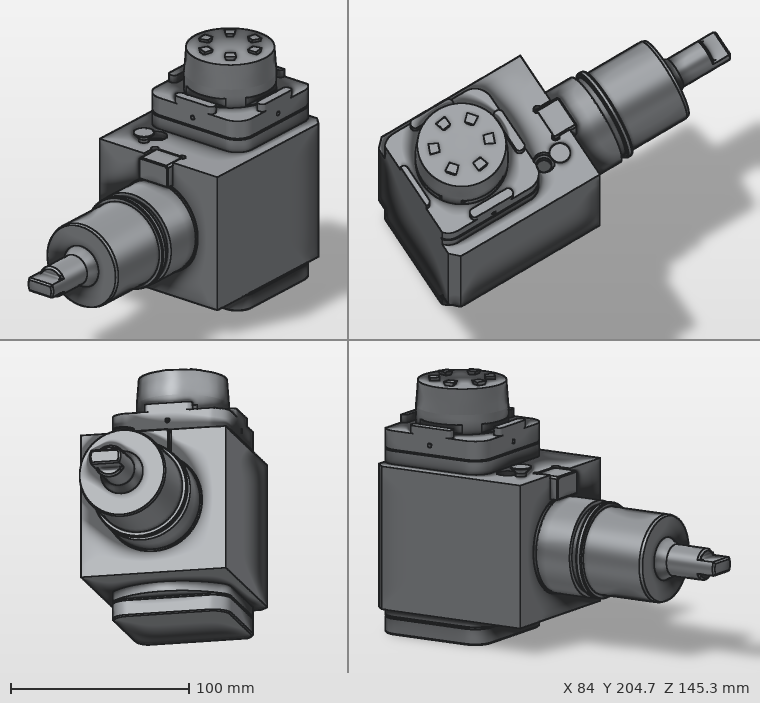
import cadquery as cq
import math


BLOCK_WIDTH = 84.0
BLOCK_TOP = 41.5
BLOCK_BOTTOM = -40.5
BLOCK_BACK = 32.0
BLOCK_FRONT = -65.0
BLOCK_CHAMFER = 5.1

FLANGE_WIDTH = 68.4
FLANGE_RADIUS = 10.5
FLANGE_TOP = 60.8
UPPER_SEAM = 49.1
UPPER_SEAM_DEPTH = 0.5
UPPER_SEAM_HEIGHT = 0.8
LOWER_SEAM = -47.3
LOWER_SEAM_DEPTH = 1.0
LOWER_SEAM_HEIGHT = 1.2
FLANGE_BOTTOM = -56.5
BOTTOM_CHAMFER = 0.8
BULGE_RADIUS = math.sqrt(2) * (FLANGE_WIDTH / 2 - FLANGE_RADIUS) + FLANGE_RADIUS

BAR_LENGTH = 27.5
BAR_DEPTH = 5.5
BAR_HEIGHT = 4.5
BAR_RADIUS = 2.5
PIN_HOLE_DIAMETER = 2.5
PIN_HOLE_DEPTH = 4.0
PIN_HOLE_Z = 55.3

DIAL_DIAMETER = 52.0
DIAL_TOP_DIAMETER = 49.7
DIAL_CONE_START = 72.0
DIAL_TOP = 86.8
DIAL_FLAT_DISTANCE = 22.0
DIAL_FLAT_BOTTOM = 61.5
DIAL_FLAT_TOP = 66.3

LUG_COUNT = 6
LUG_START_ANGLE = 8.5
LUG_INNER_RADIUS = 12.9
LUG_LENGTH = 5.5
LUG_INNER_WIDTH = 5.3
LUG_OUTER_WIDTH = 6.5
LUG_UNDERCUT = 1.0
LUG_HEIGHT = 2.0

NECK_END = -66.5
COLLAR_END = -88.6
RING_START = -92.5
RING_END = -96.2
BODY_END = -135.0
CONE_END = -141.2
SHOULDER = -162.3
TIP = BLOCK_BACK - 204.7
COLLAR_DIAMETER = 55.0
FACE_GROOVE_DIAMETER = 56.3
FACE_GROOVE_DEPTH = 1.0
NECK_DIAMETER = 53.5
BODY_DIAMETER = 50.0
RING_DIAMETER = 54.7
RING_CHAMFER_LENGTH = 0.8
RING_CHAMFER_DEPTH = 0.5
BODY_CHAMFER_LENGTH = 1.8
BODY_CHAMFER_DEPTH = 0.6
CONE_DIAMETER = 24.5
STEM_DIAMETER = 18.0
SHOULDER_CHAMFER = 1.2

TANG_THICKNESS = 8.2
TANG_FLAT_WIDTH = 13.0
TANG_BEVEL_DROP = 0.2
TANG_TIP_CHAMFER = 1.0
TANG_ROOT_RADIUS = 1.6

KEY_WIDTH = 20.5
KEY_TOP_CHAMFER = 1.2
KEY_FRONT_CHAMFER = 0.6
KEY_TOP = 41.0
KEY_BOTTOM = 27.6
KEY_FRONT = -70.0
KEY_BACK = -55.5
RELIEF_DIAMETER = 4.5
RELIEF_INSET = 0.6

SCREW_X = -20.7
SCREW_Y = -52.0
SCREW_HEAD_DIAMETER = 11.7
SCREW_PIN_DIAMETER = 6.0
SCREW_TOP = 46.9
SCREW_RIM_HEIGHT = 0.6
SCREW_CONE_BOTTOM = 43.4
SCREW_DEPTH = 6.1
HOLE_X = -19.2
HOLE_Y = -42.4
HOLE_DIAMETER = 8.5
COUNTERBORE_DIAMETER = 12.0
COUNTERBORE_DEPTH = 4.0
HOLE_DEPTH = 8.2


def cylinder(diameter, bottom, top, x=0.0, y=0.0):
    """Upright cylinder between two heights."""
    return cq.Workplane("XY", origin=(x, y, bottom)).circle(diameter / 2).extrude(top - bottom)


def rounded_square(bottom, top, inset=0.0):
    """Flange layer with rounded corners, optionally set in on all sides."""
    width = FLANGE_WIDTH - 2 * inset
    return (
        cq.Workplane("XY", origin=(0, 0, bottom))
        .rect(width, width)
        .extrude(top - bottom)
        .edges("|Z")
        .fillet(FLANGE_RADIUS - inset)
    )


def make_block():
    length = BLOCK_BACK - BLOCK_FRONT
    return (
        cq.Workplane("XY", origin=(0, (BLOCK_BACK + BLOCK_FRONT) / 2, BLOCK_BOTTOM))
        .rect(BLOCK_WIDTH, length)
        .extrude(BLOCK_TOP - BLOCK_BOTTOM)
        .edges("|Z and >Y")
        .chamfer(BLOCK_CHAMFER)
    )


def make_bar():
    """Bar along the -Y edge of the upper flange."""
    return (
        cq.Workplane("XY", origin=(0, (BAR_DEPTH - FLANGE_WIDTH) / 2, FLANGE_TOP))
        .rect(BAR_LENGTH, BAR_DEPTH)
        .extrude(BAR_HEIGHT)
        .edges("|Z")
        .fillet(BAR_RADIUS)
    )


def make_pin_hole():
    """Blind hole in the -Y face of the upper flange."""
    return (
        cq.Workplane("XZ", origin=(0, -FLANGE_WIDTH / 2, PIN_HOLE_Z))
        .circle(PIN_HOLE_DIAMETER / 2)
        .extrude(-PIN_HOLE_DEPTH)
    )


def make_upper_flange():
    flange = rounded_square(BLOCK_TOP, UPPER_SEAM)
    flange = flange.union(rounded_square(UPPER_SEAM, UPPER_SEAM + UPPER_SEAM_HEIGHT, UPPER_SEAM_DEPTH))
    flange = flange.union(rounded_square(UPPER_SEAM + UPPER_SEAM_HEIGHT, FLANGE_TOP))
    for quarter in range(4):
        turn = 90 * quarter
        flange = flange.union(make_bar().rotate((0, 0, 0), (0, 0, 1), turn))
    for turn in (0, 90, -90):
        flange = flange.cut(make_pin_hole().rotate((0, 0, 0), (0, 0, 1), turn))
    return flange


def make_lower_flange():
    seam_top = LOWER_SEAM + LOWER_SEAM_HEIGHT
    bulge = cylinder(2 * BULGE_RADIUS, seam_top, BLOCK_BOTTOM)
    front_strip = (
        cq.Workplane("XY", origin=(0, -BULGE_RADIUS / 2, seam_top))
        .rect(math.sqrt(2) * BULGE_RADIUS, BULGE_RADIUS)
        .extrude(BLOCK_BOTTOM - seam_top)
    )
    cover = rounded_square(FLANGE_BOTTOM, LOWER_SEAM).faces("<Z").edges().chamfer(BOTTOM_CHAMFER)
    return (
        rounded_square(seam_top, BLOCK_BOTTOM)
        .union(bulge.intersect(front_strip))
        .union(rounded_square(LOWER_SEAM, seam_top, LOWER_SEAM_DEPTH))
        .union(cover)
    )


def trim_at_back(flange):
    """Cut a flange off flush with the back of the block."""
    behind = (
        cq.Workplane("XY", origin=(0, BLOCK_BACK + FLANGE_WIDTH / 2, FLANGE_BOTTOM))
        .rect(2 * FLANGE_WIDTH, FLANGE_WIDTH)
        .extrude(DIAL_TOP - FLANGE_BOTTOM)
    )
    return flange.cut(behind)


def lug_outline(plane, inset):
    """Trapezoid pointing along +X that widens away from the dial axis."""
    outer_radius = LUG_INNER_RADIUS + LUG_LENGTH
    inner_half = LUG_INNER_WIDTH / 2 - inset
    outer_half = LUG_OUTER_WIDTH / 2 - inset
    return plane.polyline([
        (LUG_INNER_RADIUS, -inner_half),
        (outer_radius, -outer_half),
        (outer_radius, outer_half),
        (LUG_INNER_RADIUS, inner_half),
    ]).close()


def make_lug():
    base = lug_outline(cq.Workplane("XY", origin=(0, 0, DIAL_TOP)), LUG_UNDERCUT)
    return lug_outline(base.workplane(offset=LUG_HEIGHT), 0).loft(ruled=True)


def make_dial():
    radius = DIAL_DIAMETER / 2
    dial = (
        cq.Workplane("XZ")
        .moveTo(0, BLOCK_TOP)
        .lineTo(radius, BLOCK_TOP)
        .lineTo(radius, DIAL_CONE_START)
        .lineTo(DIAL_TOP_DIAMETER / 2, DIAL_TOP)
        .lineTo(0, DIAL_TOP)
        .close()
        .revolve(360, (0, 0), (0, 1))
    )
    for number in range(LUG_COUNT):
        turn = LUG_START_ANGLE + number * 360 / LUG_COUNT
        dial = dial.union(make_lug().rotate((0, 0, 0), (0, 0, 1), turn))
    return dial


def make_dial_flats():
    """Four slots that leave a square waist with round corners under the dial."""
    height = DIAL_FLAT_TOP - DIAL_FLAT_BOTTOM
    waist = (
        cq.Workplane("XY", origin=(0, 0, DIAL_FLAT_BOTTOM))
        .rect(2 * DIAL_FLAT_DISTANCE, 2 * DIAL_FLAT_DISTANCE)
        .extrude(height)
    )
    return cylinder(DIAL_DIAMETER, DIAL_FLAT_BOTTOM, DIAL_FLAT_TOP).cut(waist)


def make_face_groove():
    """Shallow round recess in the front of the block around the neck of the shank."""
    return (
        cq.Workplane("XZ", origin=(0, BLOCK_FRONT, 0))
        .circle(FACE_GROOVE_DIAMETER / 2)
        .extrude(-FACE_GROOVE_DEPTH)
    )


def make_shank():
    root = BLOCK_FRONT + FACE_GROOVE_DEPTH
    collar = COLLAR_DIAMETER / 2
    neck = NECK_DIAMETER / 2
    body = BODY_DIAMETER / 2
    ring = RING_DIAMETER / 2
    stem = STEM_DIAMETER / 2
    profile = [
        (0, root),
        (neck, root),
        (neck, NECK_END),
        (collar, NECK_END),
        (collar, COLLAR_END),
        (body, COLLAR_END),
        (body, RING_START),
        (ring - RING_CHAMFER_DEPTH, RING_START),
        (ring, RING_START - RING_CHAMFER_LENGTH),
        (ring, RING_END + RING_CHAMFER_LENGTH),
        (ring - RING_CHAMFER_DEPTH, RING_END),
        (body, RING_END),
        (body, BODY_END + BODY_CHAMFER_LENGTH),
        (body - BODY_CHAMFER_DEPTH, BODY_END),
        (CONE_DIAMETER / 2, BODY_END),
        (stem, CONE_END),
        (stem, SHOULDER + SHOULDER_CHAMFER),
        (stem - SHOULDER_CHAMFER, SHOULDER),
        (0, SHOULDER),
    ]
    return cq.Workplane("XY").polyline(profile).close().revolve(360, (0, 0), (0, 1))


def make_tang():
    half = TANG_THICKNESS / 2
    radius = STEM_DIAMETER / 2
    flat = TANG_FLAT_WIDTH / 2
    start = SHOULDER + SHOULDER_CHAMFER
    length = start - TIP
    bevel_edge = half - TANG_BEVEL_DROP
    section = (
        cq.Workplane("XZ", origin=(0, start, 0))
        .polyline([
            (-flat, half), (flat, half), (radius, bevel_edge), (radius, -bevel_edge),
            (flat, -half), (-flat, -half), (-radius, -bevel_edge), (-radius, bevel_edge),
        ])
        .close()
        .extrude(length)
        .faces("<Y")
        .chamfer(TANG_TIP_CHAMFER)
    )
    stem = cq.Workplane("XZ", origin=(0, start, 0)).circle(radius).extrude(length)
    stem = stem.faces("<Y").chamfer(TANG_TIP_CHAMFER)
    tang = section.intersect(stem)

    arc_middle = TANG_ROOT_RADIUS * (1 - math.sqrt(0.5))
    root = (
        cq.Workplane("YZ", origin=(-flat, 0, 0))
        .moveTo(SHOULDER, half)
        .lineTo(SHOULDER - TANG_ROOT_RADIUS, half)
        .threePointArc((SHOULDER - arc_middle, half + arc_middle), (SHOULDER, half + TANG_ROOT_RADIUS))
        .close()
        .extrude(TANG_FLAT_WIDTH)
    )
    return tang.union(root).union(root.mirror("XY"))


def make_key():
    return (
        cq.Workplane("XY", origin=(0, (KEY_FRONT + KEY_BACK) / 2, KEY_BOTTOM))
        .rect(KEY_WIDTH, KEY_BACK - KEY_FRONT)
        .extrude(KEY_TOP - KEY_BOTTOM)
        .edges(">Z and |Y")
        .chamfer(KEY_TOP_CHAMFER)
        .faces("<Y")
        .edges()
        .chamfer(KEY_FRONT_CHAMFER)
    )


def make_key_pocket():
    """Key seat open to the top and front, with round reliefs in its back corners."""
    pocket = (
        cq.Workplane("XY", origin=(0, (BLOCK_FRONT + KEY_BACK) / 2, KEY_BOTTOM))
        .rect(KEY_WIDTH, KEY_BACK - BLOCK_FRONT)
        .extrude(BLOCK_TOP - KEY_BOTTOM)
    )
    for side in (-1, 1):
        corner_x = side * (KEY_WIDTH / 2 - RELIEF_INSET)
        relief = cylinder(RELIEF_DIAMETER, KEY_BOTTOM, BLOCK_TOP, corner_x, KEY_BACK - RELIEF_INSET)
        pocket = pocket.union(relief)
    return pocket


def make_screw():
    head = SCREW_HEAD_DIAMETER / 2
    pin = SCREW_PIN_DIAMETER / 2
    foot = BLOCK_TOP - SCREW_DEPTH
    profile = [
        (0, foot),
        (pin, foot),
        (pin, SCREW_CONE_BOTTOM),
        (head, SCREW_TOP - SCREW_RIM_HEIGHT),
        (head, SCREW_TOP),
        (0, SCREW_TOP),
    ]
    screw = cq.Workplane("XZ").polyline(profile).close().revolve(360, (0, 0), (0, 1))
    return screw.translate((SCREW_X, SCREW_Y, 0))


def make_stepped_hole():
    counterbore = cylinder(COUNTERBORE_DIAMETER, BLOCK_TOP - COUNTERBORE_DEPTH, BLOCK_TOP, HOLE_X, HOLE_Y)
    return counterbore.union(cylinder(HOLE_DIAMETER, BLOCK_TOP - HOLE_DEPTH, BLOCK_TOP, HOLE_X, HOLE_Y))


housing = (
    make_block()
    .cut(make_key_pocket())
    .cut(make_stepped_hole())
    .cut(make_face_groove())
)
flanges = trim_at_back(make_upper_flange().union(make_lower_flange()))
result = (
    housing.union(flanges)
    .union(make_dial())
    .cut(make_dial_flats())
    .union(make_shank())
    .union(make_tang())
    .union(make_key())
    .union(make_screw())
)